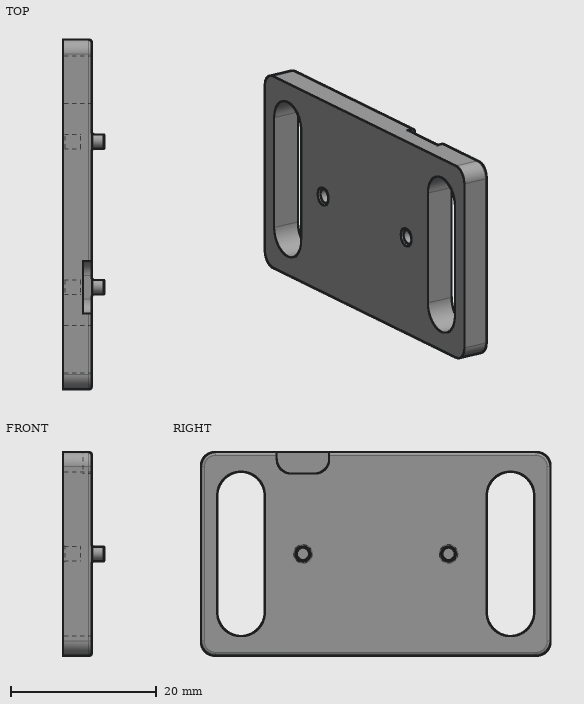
import cadquery as cq

plate_length = 48.0
plate_height = 28.0
plate_thickness = 4.0
corner_radius = 2.0
front_edge_radius = 0.5

slot_spacing = 36.95
slot_width = 6.5
slot_height = 22.5

pin_spacing = 19.95
pin_diameter = 2.0
overall_depth = 5.7
pin_length = overall_depth - plate_thickness
pin_root_radius = 0.25
pin_tip_chamfer = 0.15
hole_diameter = 1.95
hole_depth = 2.4
countersink_depth = 0.3

notch_width = 7.2
notch_depth = 1.2
notch_height = 3.0
notch_corner_radius = 2.0


def make_plate():
    plate = cq.Workplane("YZ").rect(plate_length, plate_height).extrude(plate_thickness)
    plate = plate.edges("|X").fillet(corner_radius)
    return plate.faces(">X").edges().fillet(front_edge_radius)


def make_slots():
    return (
        cq.Workplane("YZ")
        .pushPoints([(-slot_spacing / 2, 0), (slot_spacing / 2, 0)])
        .slot2D(slot_height, slot_width, angle=90)
        .extrude(plate_thickness)
    )


def make_notch():
    """Cutter with rounded lower corners, open at the top and front."""
    cutter_height = 2 * notch_height
    notch_floor = plate_height / 2 - notch_height
    return (
        cq.Workplane("YZ", origin=(plate_thickness - notch_depth, 0, 0))
        .center(-pin_spacing / 2, notch_floor + cutter_height / 2)
        .rect(notch_width, cutter_height)
        .extrude(notch_depth)
        .edges("|X and <Z")
        .fillet(notch_corner_radius)
    )


def make_pin(y):
    """Pin revolved about its X axis, with a concave root fillet and a chamfered tip."""
    radius = pin_diameter / 2
    pin = (
        cq.Workplane("YZ", origin=(plate_thickness, y, 0))
        .circle(radius)
        .extrude(pin_length)
        .faces(">X")
        .chamfer(pin_tip_chamfer)
    )
    root = (
        cq.Workplane("XY", origin=(plate_thickness, y, 0))
        .lineTo(0, radius + pin_root_radius)
        .radiusArc((pin_root_radius, radius), -pin_root_radius)
        .lineTo(pin_root_radius, 0)
        .close()
        .revolve(360, (0, 0, 0), (1, 0, 0))
    )
    return pin.union(root)


def make_hole(y):
    """Blind hole from the back face with a 45 degree countersink."""
    radius = hole_diameter / 2
    return (
        cq.Workplane("XY", origin=(0, y, 0))
        .lineTo(0, radius + countersink_depth)
        .lineTo(countersink_depth, radius)
        .lineTo(hole_depth, radius)
        .lineTo(hole_depth, 0)
        .close()
        .revolve(360, (0, 0, 0), (1, 0, 0))
    )


result = make_plate().cut(make_slots()).cut(make_notch())
for pin_y in (-pin_spacing / 2, pin_spacing / 2):
    result = result.union(make_pin(pin_y)).cut(make_hole(pin_y))

result = result.translate((-overall_depth / 2, 0, 0))